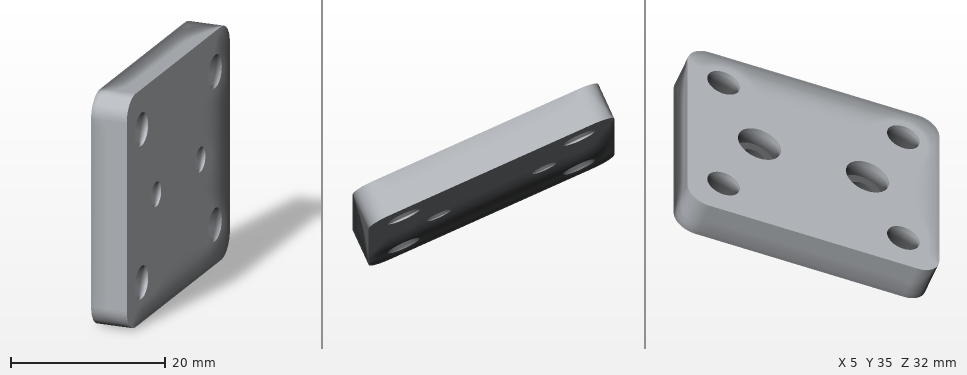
import cadquery as cq

thickness = 5.0
width = 35.0
height = 32.0
corner_radius = 3.0

corner_hole_diameter = 4.5
corner_hole_spacing_y = 25.0
corner_hole_spacing_z = 21.0

screw_hole_diameter = 3.4
screw_hole_spacing = 15.0
counterbore_diameter = 6.0
counterbore_depth = 2.5


def rounded_plate():
    plate = cq.Workplane("YZ").rect(width, height).extrude(thickness / 2, both=True)
    return plate.edges("|X").fillet(corner_radius)


def drill_corner_holes(plate):
    return (
        plate.faces("<X").workplane(centerOption="CenterOfBoundBox")
        .rect(corner_hole_spacing_y, corner_hole_spacing_z, forConstruction=True)
        .vertices()
        .hole(corner_hole_diameter)
    )


def drill_screw_holes(plate):
    half_spacing = screw_hole_spacing / 2
    return (
        plate.faces("<X").workplane(centerOption="CenterOfBoundBox")
        .pushPoints([(-half_spacing, 0), (half_spacing, 0)])
        .cboreHole(screw_hole_diameter, counterbore_diameter, counterbore_depth)
    )


result = drill_screw_holes(drill_corner_holes(rounded_plate()))